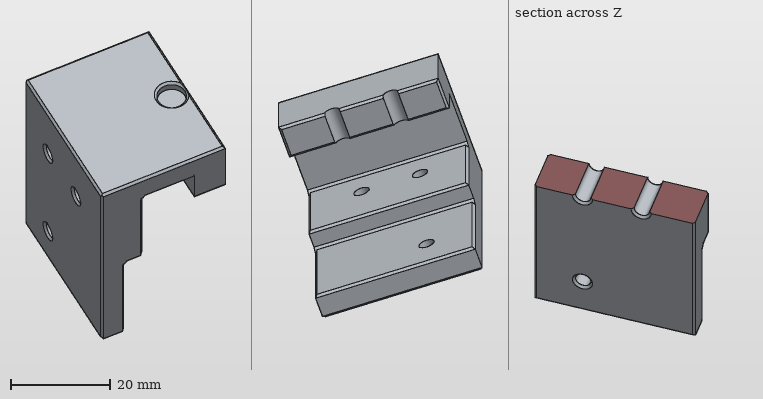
import cadquery as cq

width = 34.0
depth = 28.05
height = 46.0
edge_break = 0.5

plate_thickness = 5.3
web_thickness = 9.4
ledge_z = 22.0
roof_underside_z = 40.7
lip_thickness = 7.05
lip_bottom_z = 33.5
lip_front_y = depth - lip_thickness

screw_diameter = 3.2
screw_pitch = 12.4
screw_left_x = 10.2
screw_top_z = 33.4
screw_positions = [
    (screw_left_x, screw_top_z),
    (screw_left_x + screw_pitch, screw_top_z),
    (screw_left_x, screw_top_z - 2 * screw_pitch),
]

pocket_diameter = 6.0
pocket_depth = 2.0
pocket_x = width / 2
pocket_y = depth - lip_thickness / 2


def extrude_side(outline):
    """Extrude a (y, z) outline across the full width."""
    return cq.Workplane("YZ").polyline(outline).close().extrude(width)


def hook_body():
    """Hook with its outside corners chamfered and all inside corners sharp."""
    body = extrude_side([
        (0, 0),
        (plate_thickness, 0),
        (plate_thickness, ledge_z),
        (web_thickness, ledge_z),
        (web_thickness, roof_underside_z),
        (lip_front_y, roof_underside_z),
        (lip_front_y, lip_bottom_z),
        (depth, lip_bottom_z),
        (depth, height),
        (0, height),
    ])
    inside_corners = [
        (width / 2, plate_thickness, ledge_z),
        (width / 2, web_thickness, roof_underside_z),
        (width / 2, lip_front_y, roof_underside_z),
    ]
    outside_edges = cq.selectors.StringSyntaxSelector("|X")
    for corner in inside_corners:
        outside_edges = outside_edges - cq.selectors.NearestToPointSelector(corner)
    return body.edges(outside_edges).chamfer(edge_break)


def side_edge_wedges(plane, face_position, inward, start, length):
    """Two triangular prisms that chamfer a face where it meets the two X sides.

    The plane's x axis is X and its y axis is normal to the face; inward (+1 or -1)
    points along that y axis into the material.
    """
    wedges = cq.Workplane(plane)
    for side_x, toward_middle in [(0, 1), (width, -1)]:
        wedge = (
            cq.Workplane(plane)
            .workplane(offset=start)
            .moveTo(side_x, face_position)
            .lineTo(side_x + toward_middle * edge_break, face_position)
            .lineTo(side_x, face_position + inward * edge_break)
            .close()
            .extrude(length)
        )
        wedges = wedges.add(wedge)
    return wedges.combine()


def inside_corner_fill(wall_y, ceiling_z):
    """45 degree fill of an inside corner, reaching in behind the wall's side chamfers."""
    return extrude_side([
        (wall_y + edge_break, ceiling_z),
        (wall_y - edge_break, ceiling_z),
        (wall_y - edge_break, ceiling_z - 2 * edge_break),
    ])


def countersunk_cutter(workplane, diameter, length):
    """Cylinder running from the workplane, flared by edge_break at its mouth."""
    shaft = workplane.circle(diameter / 2).extrude(length)
    mouth = (
        workplane.circle(diameter / 2 + edge_break)
        .workplane(offset=edge_break)
        .circle(diameter / 2)
        .loft()
    )
    return shaft.union(mouth)


result = hook_body()

result = result.cut(side_edge_wedges("XY", 0, 1, 0, height))
result = result.cut(side_edge_wedges("XY", plate_thickness, -1, 0, ledge_z))
result = result.cut(side_edge_wedges("XY", web_thickness, -1, ledge_z, roof_underside_z - ledge_z))

result = result.cut(side_edge_wedges("XZ", height, -1, -depth, depth))
result = result.cut(side_edge_wedges("XZ", lip_bottom_z, 1, -depth, lip_thickness))

for wall_y, ceiling_z in [(plate_thickness, ledge_z), (web_thickness, roof_underside_z)]:
    result = result.union(inside_corner_fill(wall_y, ceiling_z))

for x, z in screw_positions:
    front_plane = cq.Workplane(cq.Plane(origin=(x, 0, z), xDir=(1, 0, 0), normal=(0, 1, 0)))
    result = result.cut(countersunk_cutter(front_plane, screw_diameter, depth))

top_plane = cq.Workplane(
    cq.Plane(origin=(pocket_x, pocket_y, height), xDir=(1, 0, 0), normal=(0, 0, -1))
)
result = result.cut(countersunk_cutter(top_plane, pocket_diameter, pocket_depth))